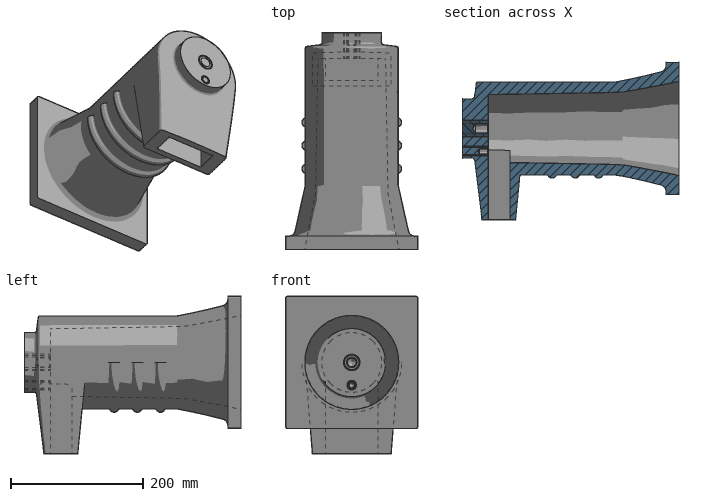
import cadquery as cq
import math

total_length = 328.0

flange_side = 200.0
flange_thickness = 20.5
flange_corner_radius = 3.3

barrel_radius = 70.5
neck_end_y = 96.5
neck_base_radius = 87.5
neck_base_fillet = 10.0
neck_top_fillet = 5.0
boss_radius = 45.3
boss_base_y = 310.0
boss_fillet = 3.3
end_slope = math.tan(math.radians(7.1))
end_edge_fillet = 3.5

box_bottom_z = -138.0
box_bottom_half_width = 59.7
box_bottom_front_y = 247.0
box_top_z = -11.0
box_front_slope = 0.097
box_front_corner_radius = 3.5
box_root_fillet = 1.5

rib_count = 3
first_rib_y = 122.0
rib_pitch = 35.0
rib_section_radius = 7.0
rib_height = 5.0
rib_root_fillet = 2.5
rib_embedding = 3.3

bore_mouth_radius = 71.2
bore_neck_radius = 54.8
bore_neck_y = 85.3
bore_floor_radius = 51.2
bore_floor_y = 288.5
bore_floor_fillet = 2.0

slot_width = 79.5
slot_length = 32.8

insert_sets = [
    (0.0, 12.5, 10.8, 8.0, 6.5, 19.7),
    (-34.5, 7.2, 6.2, 5.0, 4.0, 13.0),
]
drill_tip_half_angle = math.radians(59)
insert_length = total_length - bore_floor_y

tolerance = 0.03


def revolve_about_y(outline):
    """Revolve a closed outline of (radius, y) points about the Y axis."""
    return cq.Workplane("XY").polyline(outline).close().revolve(360, (0, 0, 0), (0, 1, 0))


def disc(radius, start_y, length, z=0.0):
    """Cylinder along +Y from start_y, centred on X = 0 at height z."""
    return cq.Workplane("XZ", origin=(0, start_y, z)).circle(radius).extrude(-length)


def circles_at(body, radius, y):
    """Circular edges around the Y axis with the given radius and Y."""
    found = []
    for edge in body.edges("%CIRCLE").vals():
        if abs(edge.Center().y - y) < tolerance and abs(edge.radius() - radius) < tolerance:
            found.append(edge)
    return body.newObject(found)


def end_y(radius):
    """Y of the sloped barrel end at a given distance from the axis."""
    return boss_base_y - (radius - boss_radius) * end_slope


def make_outlet_box():
    """Box tapering down to its base; its rear runs past the sloped barrel end."""
    height = box_top_z - box_bottom_z
    top_half_width = math.sqrt(barrel_radius**2 - box_top_z**2)
    bottom_length = total_length - box_bottom_front_y
    top_length = bottom_length + height * box_front_slope
    box = (
        cq.Workplane("XY", origin=(0, total_length, box_bottom_z))
        .center(0, -bottom_length / 2)
        .rect(2 * box_bottom_half_width, bottom_length)
        .workplane(offset=height)
        .center(0, (bottom_length - top_length) / 2)
        .rect(2 * top_half_width, top_length)
        .loft(ruled=True)
    )
    return box.faces("<Y").edges("not |X").fillet(box_front_corner_radius)


def make_flange_and_barrel():
    """Square flange, flared neck and plain barrel."""
    flange = cq.Workplane("XZ").rect(flange_side, flange_side).extrude(-flange_thickness)
    flange = flange.edges("|Y").fillet(flange_corner_radius)
    barrel = revolve_about_y([
        (0, 0),
        (neck_base_radius, 0),
        (neck_base_radius, flange_thickness),
        (barrel_radius, neck_end_y),
        (barrel_radius, total_length),
        (0, total_length),
    ])
    body = flange.union(barrel)
    body = circles_at(body, neck_base_radius, flange_thickness).fillet(neck_base_fillet)
    return circles_at(body, barrel_radius, neck_end_y).fillet(neck_top_fillet)


def add_outlet_box(body):
    """Join the outlet box, trim it and the barrel to one conical end, and round the edges."""
    body = body.union(make_outlet_box())
    box_root = []
    for edge in body.edges("%BSPLINE").vals():
        before_box = neck_end_y < edge.Center().y < box_bottom_front_y
        on_barrel = edge.BoundingBox().zmin > -barrel_radius - tolerance
        if before_box and on_barrel:
            box_root.append(edge)
    body = body.newObject(box_root).fillet(box_root_fillet)

    trim_radius = math.hypot(box_bottom_z, flange_side / 2)
    body = body.intersect(revolve_about_y([
        (0, 0),
        (trim_radius, 0),
        (trim_radius, end_y(trim_radius)),
        (0, end_y(0)),
    ]))
    return circles_at(body, barrel_radius, end_y(barrel_radius)).fillet(end_edge_fillet)


def add_boss(body):
    """Round boss on the rear end, blended into the sloped end face."""
    body = body.union(disc(boss_radius, bore_floor_y, insert_length))
    return circles_at(body, boss_radius, boss_base_y).fillet(boss_fillet)


def make_rib(rib_y):
    """Half ring with a round crown and two concave root fillets that flow into the barrel."""
    crown_centre = barrel_radius + rib_height - rib_section_radius
    root_centre = barrel_radius + rib_root_fillet
    centre_rise = root_centre - crown_centre
    half_width = math.sqrt((rib_section_radius + rib_root_fillet) ** 2 - centre_rise**2)
    crown_share = rib_section_radius / (rib_section_radius + rib_root_fillet)
    tangent_radius = crown_centre + crown_share * centre_rise
    tangent_offset = crown_share * half_width
    root_angle = math.atan2(half_width, centre_rise) / 2
    root_mid_radius = root_centre - rib_root_fillet * math.cos(root_angle)
    root_mid_offset = half_width - rib_root_fillet * math.sin(root_angle)
    return (
        cq.Workplane("XY")
        .moveTo(barrel_radius - rib_embedding, rib_y - half_width)
        .lineTo(barrel_radius, rib_y - half_width)
        .threePointArc((root_mid_radius, rib_y - root_mid_offset), (tangent_radius, rib_y - tangent_offset))
        .threePointArc((barrel_radius + rib_height, rib_y), (tangent_radius, rib_y + tangent_offset))
        .threePointArc((root_mid_radius, rib_y + root_mid_offset), (barrel_radius, rib_y + half_width))
        .lineTo(barrel_radius - rib_embedding, rib_y + half_width)
        .close()
        .revolve(180, (0, 0, 0), (0, 1, 0))
    )


def add_ribs(body):
    """Row of equal ribs along the barrel."""
    for index in range(rib_count):
        body = body.union(make_rib(first_rib_y + index * rib_pitch))
    return body


def cut_bore(body):
    """Flared bore with a rounded floor edge, opening down through the outlet box."""
    bore = revolve_about_y([
        (0, 0),
        (bore_mouth_radius, 0),
        (bore_neck_radius, bore_neck_y),
        (bore_floor_radius, bore_floor_y),
        (0, bore_floor_y),
    ])
    bore = bore.faces(">Y").edges().fillet(bore_floor_fillet)
    slot = (
        cq.Workplane("XY", origin=(0, bore_floor_y - slot_length / 2, box_bottom_z))
        .rect(slot_width, slot_length)
        .extrude(-box_bottom_z)
    )
    return body.cut(bore).cut(slot)


def make_housing():
    """Housing with a through hole for each nest of inserts."""
    housing = make_flange_and_barrel()
    housing = add_ribs(housing)
    housing = add_outlet_box(housing)
    housing = add_boss(housing)
    housing = cut_bore(housing)
    for z, collar, *_ in insert_sets:
        housing = housing.cut(disc(collar, bore_floor_y, insert_length, z))
    return housing


def make_ring(outer_radius, inner_radius, z):
    """Plain ring as long as the end wall and boss are thick."""
    ring = disc(outer_radius, bore_floor_y, insert_length, z)
    return ring.cut(disc(inner_radius, bore_floor_y, insert_length, z))


def make_pin(radius, recess_radius, recess_depth, z):
    """Pin with a chamfered, drill-pointed recess in its bore end."""
    tip_depth = recess_radius / math.tan(drill_tip_half_angle)
    recess = revolve_about_y([
        (0, 0),
        (radius, 0),
        (recess_radius, radius - recess_radius),
        (recess_radius, recess_depth),
        (0, recess_depth + tip_depth),
    ])
    pin = disc(radius, bore_floor_y, insert_length, z)
    return pin.cut(recess.translate((0, bore_floor_y, z)))


housing = make_housing()
collars = []
sleeves = []
pins = []
for z, collar_radius, sleeve_radius, pin_radius, recess_radius, recess_depth in insert_sets:
    collars.append(make_ring(collar_radius, sleeve_radius, z))
    sleeves.append(make_ring(sleeve_radius, pin_radius, z))
    pins.append(make_pin(pin_radius, recess_radius, recess_depth, z))

inserts = [body.val() for body in collars + sleeves + pins]
result = cq.Compound.makeCompound([housing.val(), *inserts])